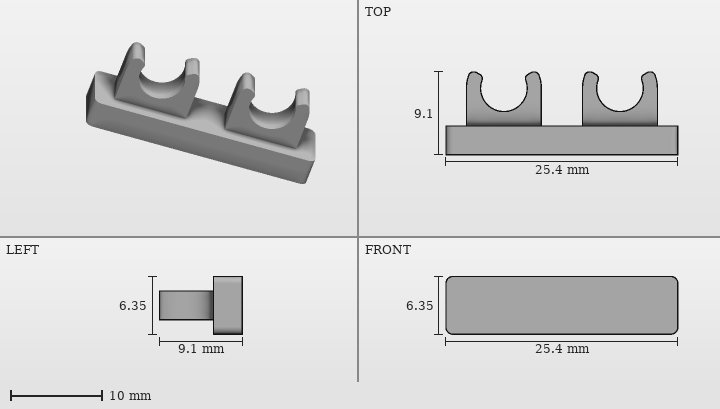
import cadquery as cq
import math

plate_length = 25.4
plate_depth = 3.18
plate_height = 6.35
plate_corner_radius = 0.8

clip_spacing = plate_length / 2
clip_thickness = plate_height / 2
bore_radius = 2.55
outer_radius = 4.11
bore_center_y = plate_depth + outer_radius
mouth_angle = math.radians(30)
tip_radius = 0.6
lip_radius = 0.5


def polar(radius, angle):
    """Point around the bore centre of a clip."""
    return (radius * math.cos(angle), bore_center_y + radius * math.sin(angle))


def mirrored(point):
    return (-point[0], point[1])


def rounding_arc(round_radius, center_distance, arc_turn):
    """Return the rounding's centre angle, its tangent point on the jaw end and its midpoint.

    The rounding touches the radial jaw end and one of the clip's arcs.
    arc_turn is 0 for the outer arc (outward contact) and pi for the bore (inward contact).
    """
    offset_angle = math.asin(round_radius / center_distance)
    center_angle = mouth_angle - offset_angle
    face_point = polar(center_distance * math.cos(offset_angle), mouth_angle)
    center = polar(center_distance, center_angle)
    face_direction = mouth_angle + math.pi / 2
    arc_direction = center_angle + arc_turn
    middle_direction = (face_direction + arc_direction) / 2
    middle = (
        center[0] + round_radius * math.cos(middle_direction),
        center[1] + round_radius * math.sin(middle_direction),
    )
    return center_angle, face_point, middle


def make_clip(center_x):
    tip_angle, tip_end, tip_middle = rounding_arc(tip_radius, outer_radius - tip_radius, 0)
    lip_angle, lip_start, lip_middle = rounding_arc(lip_radius, bore_radius + lip_radius, math.pi)
    tip_start = polar(outer_radius, tip_angle)
    lip_end = polar(bore_radius, lip_angle)
    outline = (
        cq.Workplane("XY", origin=(center_x, 0, -clip_thickness / 2))
        .moveTo(-outer_radius, plate_depth)
        .lineTo(outer_radius, plate_depth)
        .lineTo(outer_radius, bore_center_y)
        .threePointArc(polar(outer_radius, tip_angle / 2), tip_start)
        .threePointArc(tip_middle, tip_end)
        .lineTo(*lip_start)
        .threePointArc(lip_middle, lip_end)
        .threePointArc(polar(bore_radius, -math.pi / 2), mirrored(lip_end))
        .threePointArc(mirrored(lip_middle), mirrored(lip_start))
        .lineTo(*mirrored(tip_end))
        .threePointArc(mirrored(tip_middle), mirrored(tip_start))
        .threePointArc(mirrored(polar(outer_radius, tip_angle / 2)), (-outer_radius, bore_center_y))
        .close()
    )
    return outline.extrude(clip_thickness)


plate = (
    cq.Workplane("XY")
    .box(plate_length, plate_depth, plate_height, centered=(True, False, True))
    .edges("|Y")
    .fillet(plate_corner_radius)
)

result = plate
for side in (-1, 1):
    result = result.union(make_clip(side * clip_spacing / 2))